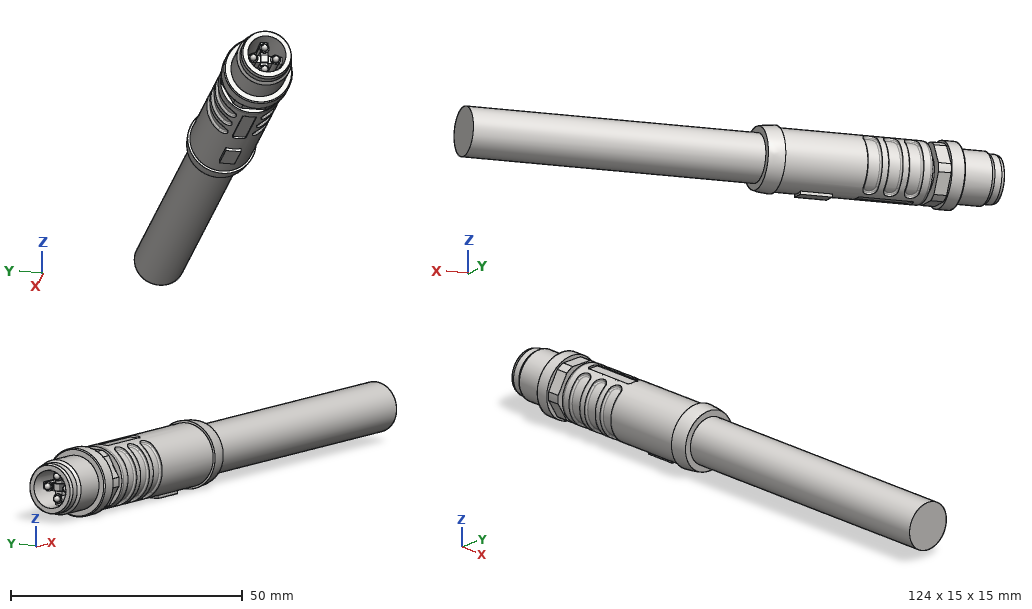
import cadquery as cq
import math

total_length = 124.0
tip_chamfer_end = 0.7
tip_end = 2.4
sleeve_start = 3.1
ring_start = 9.9
ring_end = 13.1
nut_end = 16.1
neck_flare_start = 16.6
body_start = 17.4
body_edge_end = 17.9
collar_start = 52.0
collar_end = 55.8

mouth_diameter = 10.5
tip_diameter = 11.0
sleeve_diameter = 12.0
ring_diameter = 15.0
nut_corner_diameter = 14.0
nut_across_flats = 13.0
neck_diameter = 9.3
neck_flare_diameter = 11.0
body_diameter = 14.0
body_edge_diameter = 13.8
collar_diameter = 15.0
collar_middle_diameter = 14.8
cable_diameter = 11.0
ring_chamfer = 0.2

bore_diameter = 8.3
bore_floor_diameter = 7.5
bore_depth = 8.7
pin_count = 4
pin_circle_radius = 2.5
pin_diameter = 1.5
pin_length = 6.8
pin_foot_diameter = 2.1
pin_foot_height = 5.7
rib_width = 1.6
rib_length = bore_diameter
rib_height = 5.3
post_height = 6.0

grip_pitch = 4.8
grip_middle = 26.0
grip_width = 3.3
grip_depth = 0.6
grip_floor_fillet = 0.4
grip_end_offset = 2.7
marking_length = 2 * grip_pitch + grip_width
marking_width = 3.0
marking_corner_radius = 0.6
marking_floor_height = 6.6
marking_cutter_height = 1.2

pad_start = 38.7
pad_length = 7.5
pad_width = 3.3
pad_outer_height = ring_diameter / 2


def cylinder(start, end, diameter):
    """Round bar along X between two stations."""
    return cq.Workplane("YZ", origin=(start, 0, 0)).circle(diameter / 2).extrude(end - start)


def make_turned_body():
    """Revolve the stepped profile of the connector and the cable."""
    profile = (
        cq.Workplane("XY")
        .moveTo(0, 0)
        .lineTo(0, mouth_diameter / 2)
        .lineTo(tip_chamfer_end, tip_diameter / 2)
        .lineTo(tip_end, tip_diameter / 2)
        .lineTo(sleeve_start, sleeve_diameter / 2)
        .lineTo(ring_start, sleeve_diameter / 2)
        .lineTo(ring_start, ring_diameter / 2 - ring_chamfer)
        .lineTo(ring_start + ring_chamfer, ring_diameter / 2)
        .lineTo(ring_end, ring_diameter / 2)
        .lineTo(ring_end, neck_diameter / 2)
        .lineTo(neck_flare_start, neck_diameter / 2)
        .lineTo(body_start, neck_flare_diameter / 2)
        .lineTo(body_start, body_edge_diameter / 2)
        .lineTo(body_edge_end, body_diameter / 2)
        .lineTo(collar_start, body_diameter / 2)
        .lineTo(collar_start, collar_diameter / 2)
        .threePointArc(
            ((collar_start + collar_end) / 2, collar_middle_diameter / 2),
            (collar_end, body_diameter / 2),
        )
        .lineTo(collar_end, cable_diameter / 2)
        .lineTo(total_length, cable_diameter / 2)
        .lineTo(total_length, 0)
        .close()
    )
    return profile.revolve(360, (0, 0, 0), (1, 0, 0))


def make_nut():
    """Hexagon with flats at the top and bottom and its corners turned round."""
    across_corners = nut_across_flats / math.cos(math.pi / 6)
    hexagon = (
        cq.Workplane("YZ", origin=(ring_end, 0, 0))
        .polygon(6, across_corners)
        .extrude(nut_end - ring_end)
    )
    return hexagon.intersect(cylinder(ring_end, nut_end, nut_corner_diameter))


def make_bore():
    """Slightly tapered socket opening at x = 0."""
    return (
        cq.Workplane("YZ")
        .circle(bore_diameter / 2)
        .workplane(offset=bore_depth)
        .circle(bore_floor_diameter / 2)
        .loft()
    )


def make_pin(angle):
    """Contact pin with a round tip and a wider foot, standing on the socket floor."""
    tip_center = bore_depth - pin_length + pin_diameter / 2
    foot = cylinder(bore_depth - pin_foot_height, bore_depth, pin_foot_diameter)
    pin = cylinder(tip_center, bore_depth, pin_diameter)
    tip = cq.Workplane("XY", origin=(tip_center, 0, 0)).sphere(pin_diameter / 2)
    contact = foot.union(pin).union(tip).translate((0, pin_circle_radius, 0))
    return contact.rotate((0, 0, 0), (1, 0, 0), angle)


def make_rib(angle):
    """Straight rib across the socket floor; two of them form a cross through the pins."""
    return (
        cq.Workplane("XY", origin=(bore_depth - rib_height, 0, 0))
        .box(rib_height, rib_length, rib_width, centered=(False, True, True))
        .rotate((0, 0, 0), (1, 0, 0), angle)
    )


def make_post():
    """Square post where the two ribs cross, slightly taller than the ribs."""
    return (
        cq.Workplane("YZ", origin=(bore_depth - post_height, 0, 0))
        .rect(rib_width, rib_width)
        .extrude(post_height)
    )


def make_grip(center_x, side):
    """Groove around one flank (side = +1 or -1), round-ended as seen along Z."""
    outer_y = ring_diameter / 2
    arc_center_y = grip_end_offset + grip_width / 2
    shape = (
        cq.Workplane("XY", origin=(center_x, 0, -body_diameter / 2))
        .moveTo(-grip_width / 2, side * outer_y)
        .lineTo(-grip_width / 2, side * arc_center_y)
        .threePointArc((0, side * grip_end_offset), (grip_width / 2, side * arc_center_y))
        .lineTo(grip_width / 2, side * outer_y)
        .close()
        .extrude(body_diameter)
    )
    start = center_x - grip_width
    end = center_x + grip_width
    groove = shape.cut(cylinder(start, end, body_diameter - 2 * grip_depth))
    floor_face = cq.selectors.BoxSelector(
        (center_x - grip_width / 4, 0, -grip_width / 4),
        (center_x + grip_width / 4, side * (body_diameter / 2 - grip_depth), grip_width / 4),
    )
    return groove.faces(floor_face).edges().fillet(grip_floor_fillet)


def make_marking_recess(side):
    """Flat-floored recess on the top (side = +1) or the bottom (side = -1)."""
    middle_height = side * (marking_floor_height + marking_cutter_height / 2)
    return (
        cq.Workplane("XY")
        .box(marking_length, marking_width, marking_cutter_height)
        .edges("|Z")
        .fillet(marking_corner_radius)
        .translate((grip_middle, 0, middle_height))
    )


def make_pad():
    """Plain rectangular pad reaching down as far as the ring."""
    return (
        cq.Workplane("XY", origin=(pad_start + pad_length / 2, 0, -pad_outer_height))
        .rect(pad_length, pad_width)
        .extrude(pad_outer_height - cable_diameter / 2)
    )


result = make_turned_body().union(make_nut()).union(make_pad()).cut(make_bore())

for angle in (0, 90):
    result = result.union(make_rib(angle))
result = result.union(make_post())
for index in range(pin_count):
    result = result.union(make_pin(index * 360 / pin_count))

for side in (1, -1):
    result = result.cut(make_marking_recess(side))
    for step in (-1, 0, 1):
        result = result.cut(make_grip(grip_middle + step * grip_pitch, side))